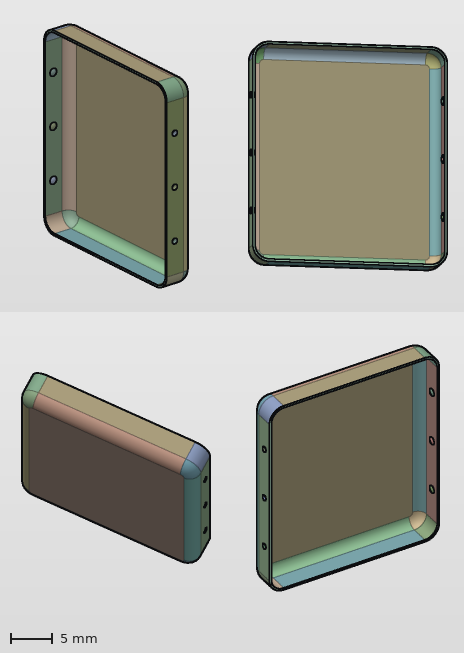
import cadquery as cq
import math

width = 23.6
height = 26.6
depth = 4.0
wall = 0.3
corner_radius = 2.0
back_edge_radius = 1.5

dimple_pitch = 7.0
dimple_count = 3
dimple_from_rim = 1.2
dimple_radius = 0.45
dimple_depth = 0.2

bump_radius = dimple_radius + wall
sphere_centre_x = width / 2 + dimple_radius - dimple_depth

rim_y = -depth / 2
dimple_y = rim_y + dimple_from_rim


def rounded_block(size_x, size_z, length, side_radius, end_radius):
    """Block from the rim towards +Y, with rounded corners and a rounded back edge."""
    block = cq.Workplane("XZ", origin=(0, rim_y, 0)).rect(size_x, size_z).extrude(-length)
    return block.edges("|Y").fillet(side_radius).faces(">Y").edges().fillet(end_radius)


def tray():
    """Rounded block hollowed to a constant wall thickness."""
    outside = rounded_block(width, height, depth, corner_radius, back_edge_radius)
    inside = rounded_block(
        width - 2 * wall,
        height - 2 * wall,
        depth - wall,
        corner_radius - wall,
        back_edge_radius - wall,
    )
    return outside.cut(inside)


def inward_cap(radius, base_x, side, z):
    """Part of a ball, centred outside a side wall, that lies further in than base_x (given for +X)."""
    base_offset = sphere_centre_x - base_x
    base_angle = math.acos(base_offset / radius)
    base_half = radius * math.sin(base_angle)
    arc_middle = (-radius * math.cos(base_angle / 2), radius * math.sin(base_angle / 2))
    cap = (
        cq.Workplane("XY")
        .moveTo(-radius, 0)
        .threePointArc(arc_middle, (-base_offset, base_half))
        .lineTo(-base_offset, 0)
        .close()
        .revolve(360, (0, 0, 0), (1, 0, 0))
        .translate((sphere_centre_x, dimple_y, z))
    )
    return cap if side > 0 else cap.mirror("YZ")


bump_base_x = width / 2 - wall / 2
dimple_base_x = sphere_centre_x

result = tray()
for side in (-1, 1):
    for index in range(dimple_count):
        z = (index - (dimple_count - 1) / 2) * dimple_pitch
        result = result.union(inward_cap(bump_radius, bump_base_x, side, z))
        result = result.cut(inward_cap(dimple_radius, dimple_base_x, side, z))